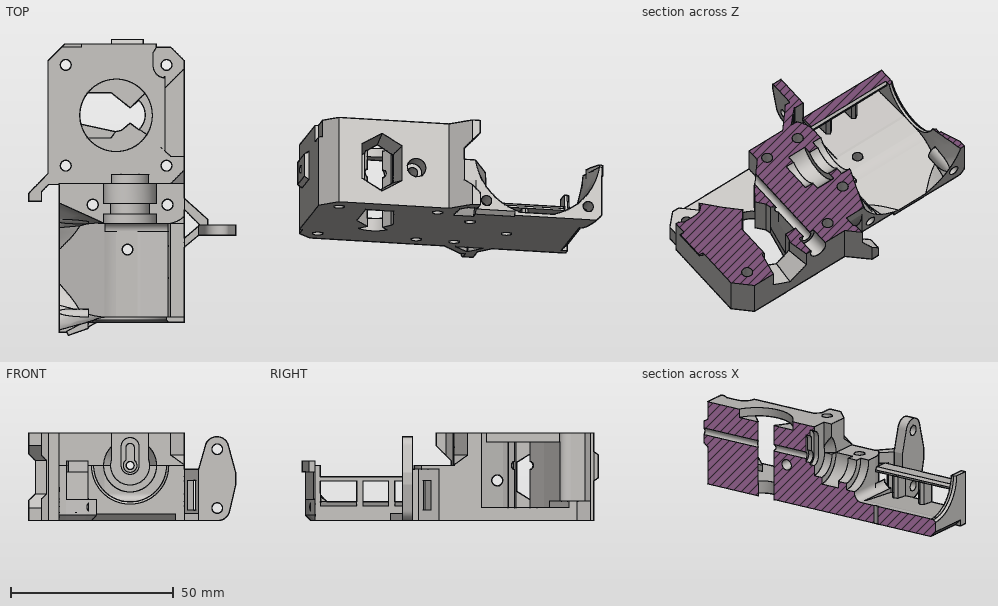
import cadquery as cq
import math

block_half = 21.0
block_back = 22.0
block_height = 27.0
back_chamfer = 5.2
motor_screw_spacing = 31.0
motor_screw_diameter = 3.25
motor_pilot_radius = 11.15
motor_plate_thickness = 2.7

path_x = 4.3
path_z = 17.0
filament_diameter = 2.4
seat_back = -18.2
seat_radius = 6.0
seat_slot_width = 11.4
collar_radius = 8.15
neck_radius = 6.0
neck_back = -27.1
neck_front = -30.3

duct_left = -17.5
chamber_back = -33.3
chamber_front = -62.1
duct_front = -63.7
chamber_floor = 5.9
ramp_end_x = -3.5
ramp_start_z = 1.1
ramp_end_z = 5.0
chamber_left = -9.5
outlet_floor = 4.5
chamber_right = 16.0
fan_y = -46.5
fan_z = 20.2
fan_radius = 19.8
fan_screw_spacing = 32.0
fan_screw_diameter = 3.2
fan_screw_z = fan_z - fan_screw_spacing / 2
fan_screw_depth = 8.0
fan_boss_radius = 2.9
fan_boss_length = 9.0
front_arch_radius = 11.9
clamp_screw_offset = 11.5
clamp_screw_y = -27.5
clamp_screw_diameter = 3.3
floor_screw_diameter = 3.2
floor_screw_x = 3.5
floor_screw_y = -41.3
fan_post_front = -66.75
bottom_chamfer = 2.0

bracket_back = -33.7
bracket_front = -36.9
bracket_left = 25.4
bracket_right = 36.82
bracket_hole_x = 31.1
bracket_hole_diameter = 3.2
bracket_low_z = 3.9
bracket_high_z = 22.0
strut_height = 15.9
front_strut_height = 2.3


def box(x0, x1, y0, y1, z0, z1):
    """Axis-aligned box between two opposite corners."""
    return cq.Workplane("XY").box(x1 - x0, y1 - y0, z1 - z0, centered=False).translate((x0, y0, z0))


def prism_z(points, z0, z1):
    """Plan outline extruded upwards from z0 to z1."""
    return cq.Workplane("XY").workplane(offset=z0).polyline(points).close().extrude(z1 - z0)


def prism_x(points, x0, x1):
    """(Y, Z) outline extruded along X."""
    return cq.Workplane("YZ").workplane(offset=x0).polyline(points).close().extrude(x1 - x0)


def prism_y(points, y_front, y_back):
    """(X, Z) outline extruded along Y."""
    return cq.Workplane("XZ").workplane(offset=-y_back).polyline(points).close().extrude(y_back - y_front)


def cylinder_x(radius, y, z, x0, x1):
    """Cylinder along X."""
    return cq.Workplane("YZ").workplane(offset=x0).center(y, z).circle(radius).extrude(x1 - x0)


def cylinder_y(radius, x, z, y_front, y_back):
    """Cylinder along Y."""
    return cq.Workplane("XZ").workplane(offset=-y_back).center(x, z).circle(radius).extrude(y_back - y_front)


def cylinder_z(radius, x, y, z0, z1):
    """Cylinder along Z."""
    return cq.Workplane("XY").workplane(offset=z0).center(x, y).circle(radius).extrude(z1 - z0)


def motor_block():
    """Square block with chamfered back corners and the tab on its back face."""
    back_step = 1.0
    right_back = block_back - back_step
    right_chamfer = 4.2
    step_x = 12.4
    block = prism_z(
        [
            (-block_half, -block_half),
            (block_half, -block_half),
            (block_half, right_back - right_chamfer),
            (block_half - right_chamfer, right_back),
            (step_x, right_back),
            (step_x, block_back),
            (-block_half + back_chamfer, block_back),
            (-block_half, block_back - back_chamfer),
        ],
        0,
        block_height,
    )
    tab_bevel = 1.0
    tab_back = block_back + 1.4
    tab_low, tab_high = 12.2, 21.3
    tab_left, tab_right = -1.5, 8.4
    tab = prism_x(
        [
            (block_back, tab_low),
            (tab_back, tab_low + tab_bevel),
            (tab_back, tab_high - tab_bevel),
            (block_back, tab_high),
        ],
        tab_left,
        tab_right,
    )
    notch_right = -10.6
    notch_floor = 21.8
    notch = box(-block_half, notch_right, right_back, block_back, notch_floor, block_height)
    return block.union(tab).cut(notch)


def side_hook():
    """Angled rail on the left front edge, with a longer tail at its top and bottom."""
    rail_start = -17.9
    rail_end = -21.9
    tail_end = -26.5
    tail_left, tail_right = -26.9, -22.9
    inner_end = -21.3
    rail = prism_z(
        [
            (-block_half, rail_start),
            (tail_left, -24.0),
            (tail_left, tail_end),
            (tail_right, tail_end),
            (tail_right, -23.5),
            (-20.8, inner_end),
            (duct_left, inner_end),
            (duct_left, rail_start),
        ],
        0,
        block_height,
    )
    gap = prism_x(
        [(tail_end, 3.9), (rail_end, 8.3), (rail_end, 18.5), (tail_end, 23.1)], tail_left, duct_left
    )
    return rail.cut(gap)


def motor_cuts():
    """Motor pilot hole, the four motor screws and the drive-gear cavity."""
    cavity_top = block_height - motor_plate_thickness
    cuts = cylinder_z(motor_pilot_radius, 0, 0, cavity_top, block_height)
    for side_x in (-1, 1):
        for side_y in (-1, 1):
            cuts = cuts.union(
                cylinder_z(
                    motor_screw_diameter / 2,
                    side_x * motor_screw_spacing / 2,
                    side_y * motor_screw_spacing / 2,
                    0,
                    block_height,
                )
            )
    gear_cavity = (
        cq.Workplane("XY")
        .moveTo(-14, 6.9)
        .lineTo(-1.5, 6.9)
        .lineTo(path_x, 2.3)
        .lineTo(7, 4.6)
        .threePointArc((8.9, -0.2), (7, -4.4))
        .lineTo(path_x, -2.4)
        .lineTo(1.6, -4.6)
        .lineTo(-0.2, -5)
        .lineTo(-14, -2)
        .close()
        .extrude(cavity_top)
    )
    shelf_z = 3.0
    gear_shelf = prism_z([(-11, -2.7), (-0.2, -5), (-1.6, -7), (-11, -7)], shelf_z, cavity_top)
    return cuts.union(gear_cavity).union(gear_shelf)


def idler_cuts():
    """Idler opening on the +X side and the lowered back right corner."""
    pocket_floor = 4.0
    corner_floor = 6.0
    pocket = prism_z(
        [(15, -11), (16.8, -12.6), (22, -12.6), (22, 15.4), (15, 8.4)], pocket_floor, block_height
    )
    funnel = prism_z(
        [(path_x, 2.3), (8.9, 6.8), (15, 12), (15, -11), (9.3, -5.8), (path_x, -2.4)],
        pocket_floor,
        block_height - motor_plate_thickness,
    )
    corner = (
        cq.Workplane("XY")
        .workplane(offset=corner_floor)
        .moveTo(12.4, 23)
        .lineTo(12.4, 21)
        .lineTo(11.4, 19.3)
        .lineTo(11.4, 15)
        .threePointArc((12.5, 12.6), (15, 11.5))
        .lineTo(15, 8.4)
        .lineTo(22, 15.4)
        .lineTo(22, 23)
        .close()
        .extrude(block_height - corner_floor)
    )
    return pocket.union(funnel).union(corner)


def front_corner_cut():
    """Bevel of the block's front right corner, running out in a slope at its lower end."""
    bevel = 4.2
    tip = 0.02
    slope_top = 20.2
    slope_bottom = 17.2

    def corner_triangle(plane, size):
        x, y = block_half, -block_half
        return plane.polyline([(x, y), (x, y + size), (x - size, y)]).close()

    upper = corner_triangle(cq.Workplane("XY").workplane(offset=slope_top), bevel)
    upper = upper.extrude(block_height - slope_top)
    slope = corner_triangle(cq.Workplane("XY").workplane(offset=slope_bottom), tip)
    slope = corner_triangle(slope.workplane(offset=slope_top - slope_bottom), bevel).loft(ruled=True)
    return upper.union(slope)


def left_wall_cuts():
    """Tapered hexagonal window in the left wall and a stepped cross hole beside it."""

    def hexagon(plane, half_width, half_height):
        shoulder = half_height * 0.6
        return plane.polyline(
            [
                (0, half_height),
                (half_width, shoulder),
                (half_width, -shoulder),
                (0, -half_height),
                (-half_width, -shoulder),
                (-half_width, shoulder),
            ]
        ).close()

    window_y = 3.15
    window_depth = 8.0
    wall = cq.Workplane("YZ").workplane(offset=-block_half).center(window_y, block_height / 2)
    outer = hexagon(wall, 6.3, 9.2)
    window = hexagon(outer.workplane(offset=window_depth), 4.6, 7.2).loft(ruled=True)
    hole_y, hole_z = -7.7, 12.4
    hole_diameter = 3.3
    counterbore_diameter = 5.8
    counterbore_depth = 6.0
    hole = cylinder_x(hole_diameter / 2, hole_y, hole_z, -block_half, block_half)
    counterbore = cylinder_x(
        counterbore_diameter / 2, hole_y, hole_z, -block_half, -block_half + counterbore_depth
    )
    return window.union(hole).union(counterbore)


def duct_body():
    """Front block holding the heat sink and the air duct."""
    chamfer_end_x = 18.2
    body = box(duct_left, block_half, duct_front, -block_half, 0, path_z)
    front_chamfer = prism_x(
        [(duct_front, 0), (duct_front + bottom_chamfer, 0), (duct_front, bottom_chamfer)],
        duct_left,
        chamfer_end_x,
    )
    undercut_front = -27.2
    undercut = (
        cq.Workplane("XZ")
        .workplane(offset=block_half)
        .moveTo(duct_left, 0)
        .lineTo(duct_left, 10.4)
        .threePointArc((-16.4, 5), (-13.6, 0))
        .close()
        .extrude(-block_half - undercut_front)
    )
    edge_height = 1.3
    edge_chamfer = prism_y(
        [(duct_left, 0), (duct_left + edge_height, 0), (duct_left, edge_height)], -39.5, undercut_front
    )
    return body.cut(front_chamfer).cut(undercut).cut(edge_chamfer)


def fan_post():
    """Thickened left end of the front wall, with a wider foot and a latch at its top."""
    foot_top = 6.5
    post_left = -15.3
    post_right = -8.7
    back = chamber_front + 3.0
    foot_chamfer = 1.7
    overhang = 3.0
    foot = prism_z(
        [
            (duct_left - overhang, back),
            (duct_left - overhang, fan_post_front),
            (post_left, fan_post_front),
            (-9, -65.4),
            (-6, duct_front),
            (-6, back),
        ],
        0,
        foot_top,
    )
    foot = foot.faces("<Z").chamfer(foot_chamfer)
    foot = foot.cut(box(duct_left - overhang, duct_left, fan_post_front, back, 0, foot_top))
    column = prism_z(
        [
            (duct_left, back),
            (duct_left, fan_post_front),
            (post_left, fan_post_front),
            (post_right, -64.2),
            (post_right, back),
        ],
        foot_top,
        path_z,
    )
    latch = prism_z(
        [(post_left, -66.5), (-14.7, -67.72), (-8.6, -65.6), (-8.6, duct_front), (-10, duct_front)],
        15.0,
        18.4,
    )
    return foot.union(column).union(latch)


def duct_chamber():
    """Air space: round at the fan, rectangular along the chamber, arched at the front wall."""
    top = path_z + 6
    corner_fillet = 2.4
    center_y = (chamber_back + chamber_front) / 2
    throat = (
        cq.Workplane("YZ")
        .workplane(offset=duct_left)
        .center(fan_y, fan_z)
        .circle(fan_radius)
        .workplane(offset=ramp_end_x - duct_left)
        .center(center_y - fan_y, 0)
        .rect(chamber_back - chamber_front, 2 * (fan_z - ramp_start_z))
        .loft(ruled=True)
    )
    ramp = prism_y(
        [(duct_left, 0), (duct_left, ramp_start_z), (ramp_end_x, ramp_end_z), (ramp_end_x, 0)],
        fan_post_front,
        -block_half,
    )
    ramp_slope = (ramp_end_z - ramp_start_z) / (ramp_end_x - duct_left)
    chamber_left_floor = ramp_start_z + ramp_slope * (chamber_left - duct_left)
    chamber = (
        cq.Workplane("XZ")
        .workplane(offset=-chamber_back)
        .moveTo(chamber_left, chamber_left_floor)
        .lineTo(ramp_end_x, ramp_end_z)
        .threePointArc((-1.8, 5.6), (0.1, chamber_floor))
        .lineTo(6.7, chamber_floor)
        .lineTo(7.6, chamber_floor - 0.2)
        .lineTo(block_half, outlet_floor)
        .lineTo(block_half, top)
        .lineTo(chamber_left, top)
        .close()
        .extrude(chamber_back - chamber_front)
    )
    inset = corner_fillet * (1 - math.sqrt(0.5))
    back_corner = (
        cq.Workplane("YZ")
        .workplane(offset=ramp_end_x)
        .moveTo(chamber_back, 0)
        .lineTo(chamber_back - corner_fillet, 0)
        .lineTo(chamber_back - corner_fillet, chamber_floor)
        .threePointArc(
            (chamber_back - inset, chamber_floor + inset), (chamber_back, chamber_floor + corner_fillet)
        )
        .close()
        .extrude(block_half - ramp_end_x)
    )
    bevel = 0.7
    arch = cylinder_y(front_arch_radius - bevel, path_x, path_z, duct_front, chamber_front)
    arch_bevel = (
        cq.Workplane("XZ")
        .workplane(offset=-duct_front - bevel)
        .center(path_x, path_z)
        .circle(front_arch_radius - bevel)
        .workplane(offset=bevel)
        .circle(front_arch_radius)
        .loft()
    )
    arch = arch.union(arch_bevel)
    return throat.cut(ramp).union(chamber.cut(back_corner)).union(arch)


def side_rail():
    """Rail along the open right side of the chamber, standing on two pointed posts."""
    rail_low, rail_high = 12.2, 13.6
    nose = 0.8
    rail = prism_y(
        [
            (chamber_right, rail_low),
            (block_half, rail_low),
            (block_half, rail_high),
            (chamber_right + nose, rail_high),
            (chamber_right, rail_high - nose),
        ],
        chamber_front,
        chamber_back,
    )
    post_width = 2.0
    for y in (-40.2, -50.0):
        back, front = y + post_width / 2, y - post_width / 2
        post = prism_z(
            [
                (chamber_right, y),
                (chamber_right + nose, back),
                (block_half, back),
                (block_half, front),
                (chamber_right + nose, front),
            ],
            outlet_floor,
            rail_low,
        )
        rail = rail.union(post)
    return rail


def outlet_corner():
    """Rounded cut-back of the clamp block beside the rail."""
    return (
        cq.Workplane("XY")
        .workplane(offset=chamber_floor)
        .moveTo(chamber_right, chamber_back)
        .threePointArc((18.9, -32.5), (block_half, -31))
        .lineTo(block_half, chamber_back)
        .close()
        .extrude(path_z - chamber_floor)
    )


def heat_sink_seat():
    """Stepped bore for the heat sink, open upwards in the motor block."""
    half_slot = seat_slot_width / 2
    seat = cylinder_y(seat_radius, path_x, path_z, -block_half, seat_back)
    slot = box(path_x - half_slot, path_x + half_slot, -block_half, seat_back, path_z, block_height)
    flare = (
        cq.Workplane("XZ")
        .workplane(offset=-seat_back)
        .center(path_x, path_z)
        .circle(seat_radius)
        .workplane(offset=block_half + seat_back)
        .circle(collar_radius)
        .loft()
    )
    upper_half = box(-block_half, block_half, -block_half, seat_back, path_z, block_height)
    collar = cylinder_y(collar_radius, path_x, path_z, neck_back, -block_half)
    neck = cylinder_y(neck_radius, path_x, path_z, neck_front, neck_back)
    rim = cylinder_y(collar_radius, path_x, path_z, chamber_back, neck_front)
    lower_bores = collar.union(neck).union(rim)
    filament = cylinder_y(filament_diameter / 2, path_x, path_z, seat_back, block_back + 2)
    return seat.union(slot).union(flare.intersect(upper_half)).union(lower_bores).union(filament)


def upright_groove(width, top, y_front, y_back):
    """Round-ended groove reaching from the filament axis up to the given height."""
    radius = width / 2
    groove = box(path_x - radius, path_x + radius, y_front, y_back, path_z, top - radius)
    for z in (path_z, top - radius):
        groove = groove.union(cylinder_y(radius, path_x, z, y_front, y_back))
    return groove


def tube_groove():
    """Two-step groove behind the heat-sink seat, with a round tube seat at its lower end."""
    step_y = -16.6
    groove_back = -15.0
    tube_seat_radius = 2.1
    wide = upright_groove(5.5, 25.6, seat_back, step_y)
    narrow = upright_groove(2.6, 23.8, step_y, groove_back)
    tube_seat = cylinder_y(tube_seat_radius, path_x, path_z, step_y, groove_back)
    return wide.union(narrow).union(tube_seat)


def duct_screws():
    """Floor hole, two clamp screws through the plateau and two blind fan screws."""
    holes = cylinder_z(floor_screw_diameter / 2, floor_screw_x, floor_screw_y, 0, path_z)
    for side in (-1, 1):
        holes = holes.union(
            cylinder_z(
                clamp_screw_diameter / 2, path_x + side * clamp_screw_offset, clamp_screw_y, 0, path_z
            )
        )
        y = fan_y + side * fan_screw_spacing / 2
        holes = holes.union(
            cylinder_x(fan_screw_diameter / 2, y, fan_screw_z, duct_left, duct_left + fan_screw_depth)
        )
    return holes


def fan_bosses():
    """Round bosses around the two fan screws."""
    end = duct_left + fan_boss_length
    half_spacing = fan_screw_spacing / 2
    back_boss = cylinder_x(fan_boss_radius, fan_y + half_spacing, fan_screw_z, duct_left, end)
    front_boss = cylinder_x(fan_boss_radius, fan_y - half_spacing, fan_screw_z, duct_left, end)
    return back_boss.union(front_boss)


def cable_bracket():
    """Upright lobed plate with two holes, carried by two slanted struts."""
    plate = (
        cq.Workplane("XZ")
        .workplane(offset=-bracket_back)
        .moveTo(bracket_left, 0)
        .lineTo(bracket_hole_x, 0)
        .threePointArc((34, 1.2), (35, 3.2))
        .lineTo(bracket_right, 11)
        .lineTo(bracket_right, 14.8)
        .lineTo(34.6, 23)
        .threePointArc((bracket_hole_x, 25.9), (27.4, 23))
        .lineTo(bracket_left, 16)
        .close()
        .extrude(bracket_back - bracket_front)
    )
    for z in (bracket_low_z, bracket_high_z):
        plate = plate.cut(
            cylinder_y(bracket_hole_diameter / 2, bracket_hole_x, z, bracket_front, bracket_back)
        )
    back_strut = prism_z(
        [(20.5, -25.1), (28.2, -32), (28.2, -34), (26, -34), (20.5, -28.5)], 0, strut_height
    )
    front_strut = prism_z(
        [(20.5, -38.2), (bracket_left, -34), (bracket_left, bracket_front), (20.5, -41)],
        0,
        front_strut_height,
    )
    window_low, window_high = 3.3, 12.4
    window = prism_z(
        [(21.4, -30.6), (23.8, -33), (27.4, -29.4), (25, -27)], window_low, window_high
    )
    return plate.union(back_strut.cut(window)).union(front_strut)


duct = duct_body().union(fan_post()).cut(duct_chamber())
duct = duct.cut(outlet_corner()).union(fan_bosses()).union(side_rail())
result = motor_block().union(side_hook()).union(duct).union(cable_bracket())
result = result.cut(motor_cuts()).cut(idler_cuts()).cut(front_corner_cut()).cut(left_wall_cuts())
result = result.cut(heat_sink_seat()).cut(tube_groove()).cut(duct_screws())